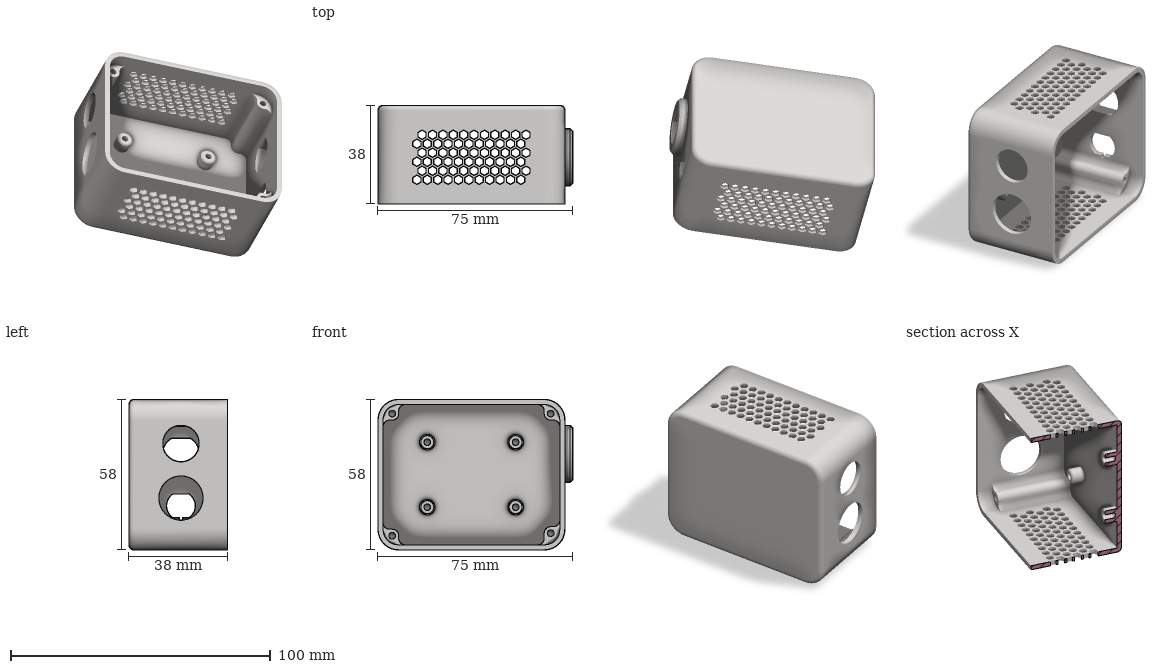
import cadquery as cq
import math

WIDTH = 72.0
HEIGHT = 58.0
DEPTH = 38.0
WALL = 2.0
CORNER_RADIUS = 8.0
BACK_EDGE_RADIUS = 2.0

INNER_WIDTH = WIDTH - 2 * WALL
INNER_HEIGHT = HEIGHT - 2 * WALL
INNER_DEPTH = DEPTH - WALL
INNER_RADIUS = CORNER_RADIUS - WALL
OVERLAP = WALL / 2
MID_Y = INNER_DEPTH / 2

SCREW_HOLE_DIAMETER = 2.53
DRILL_POINT_ANGLE = 118.0

POST_RADIUS = 2.5
POST_RECESS = 6.0
POST_HOLE_DEPTH = 10.0
POST_X = 30.5
POST_Z = 23.5
LOW_POST_Z = 22.5
POST_CENTERS = [(-POST_X, POST_Z), (POST_X, POST_Z), (-POST_X, -POST_Z), (POST_X, -LOW_POST_Z)]

STANDOFF_DIAMETER = 6.0
STANDOFF_LENGTH = 5.0
STANDOFF_CHAMFER = 0.5
STANDOFF_HOLE_DEPTH = 4.0
STANDOFF_SPACING_X = 34.0
STANDOFF_SPACING_Z = 25.0

VENT_SIDES = 6
VENT_ACROSS_FLATS = 3.0
VENT_PITCH = 4.0
VENT_ROWS = 6
VENT_COLUMNS = 11

LEFT_OPENINGS = [(14.0, 12.0), (17.0, -9.0)]

COLLAR_DIAMETER = 22.0
COLLAR_LENGTH = 3.0
COLLAR_CHAMFER = 1.0
COLLAR_Z = 8.0
COLLAR_BORE_DIAMETER = 14.0
COLLAR_BORE_FLATS = 12.0

KEYED_DIAMETER = 11.0
KEYED_FLATS = 9.0
KEYED_Z = -12.0
KEY_WIDTH = 1.2
KEY_DEPTH = 1.0


def rounded_block(width, height, depth, radius):
    """Block from Y = 0 to Y = depth with its four long edges rounded."""
    block = cq.Workplane("XZ").rect(width, height).extrude(-depth)
    return block.edges("|Y").fillet(radius)


def cylinder_y(diameter, x, z, y_start, y_end):
    """Cylinder along Y."""
    plane = cq.Workplane("XZ", origin=(x, y_start, z))
    return plane.circle(diameter / 2).extrude(y_start - y_end)


def cylinder_x(diameter, z, x_start, length):
    """Cylinder along +X, centred on the cavity depth."""
    plane = cq.Workplane("YZ", origin=(x_start, MID_Y, z))
    return plane.circle(diameter / 2).extrude(length)


def screw_hole(x, z, y_mouth, depth):
    """Cutter for a hole drilled toward +Y, with a conical drill point."""
    radius = SCREW_HOLE_DIAMETER / 2
    point = radius / math.tan(math.radians(DRILL_POINT_ANGLE / 2))
    profile = (
        cq.Workplane("XY", origin=(x, y_mouth, z))
        .lineTo(radius, 0)
        .lineTo(radius, depth)
        .lineTo(0, depth + point)
        .close()
    )
    return profile.revolve(360, (0, 0, 0), (0, 1, 0))


def corner_post(x, z):
    """Post filling one cavity corner, with concave blends into both walls."""
    r = POST_RADIUS
    wall_x = INNER_WIDTH / 2 - abs(x)
    wall_z = INNER_HEIGHT / 2 - abs(z)
    right = math.copysign(1, x)
    up = math.copysign(1, z)
    bend = r * math.sqrt(0.5)
    outer = (wall_x, wall_z)
    foot_z = (-2 * r, wall_z)
    blend_z_mid = (-2 * r + bend, wall_z - r + bend)
    blend_z_end = (-r, wall_z - r)
    round_start = (-r, 0)
    round_mid = (-bend, -bend)
    round_end = (0, -r)
    blend_x_start = (wall_x - r, -r)
    blend_x_mid = (wall_x - r + bend, -2 * r + bend)
    foot_x = (wall_x, -2 * r)

    def place(point):
        return (x + right * point[0], z + up * point[1])

    profile = (
        cq.Workplane("XZ", origin=(0, POST_RECESS, 0))
        .moveTo(*place(outer))
        .lineTo(*place(foot_z))
        .threePointArc(place(blend_z_mid), place(blend_z_end))
        .lineTo(*place(round_start))
        .threePointArc(place(round_mid), place(round_end))
        .lineTo(*place(blend_x_start))
        .threePointArc(place(blend_x_mid), place(foot_x))
        .close()
    )
    return profile.extrude(POST_RECESS - INNER_DEPTH - OVERLAP)


def standoff(x, z):
    """Drilled standoff with a chamfered free end."""
    tip_y = INNER_DEPTH - STANDOFF_LENGTH
    pin = cylinder_y(STANDOFF_DIAMETER, x, z, tip_y, INNER_DEPTH)
    pin = pin.faces("<Y").chamfer(STANDOFF_CHAMFER)
    return pin.cut(screw_hole(x, z, tip_y, STANDOFF_HOLE_DEPTH))


def vents():
    """Cutter for the staggered vents, running through both the top and bottom walls."""
    row_pitch = VENT_PITCH * math.sin(math.pi / 3)
    centers = []
    for row in range(VENT_ROWS):
        y = MID_Y + (row - (VENT_ROWS - 1) / 2) * row_pitch
        stagger = VENT_PITCH / 4 if row % 2 else -VENT_PITCH / 4
        for column in range(VENT_COLUMNS):
            x = (column - (VENT_COLUMNS - 1) / 2) * VENT_PITCH + stagger
            centers.append((x, y))
    across_corners = VENT_ACROSS_FLATS / math.cos(math.pi / VENT_SIDES)
    hexagon = cq.Sketch().regularPolygon(across_corners / 2, VENT_SIDES)
    plane = cq.Workplane("XY", origin=(0, 0, -HEIGHT / 2))
    return plane.pushPoints(centers).placeSketch(hexagon).extrude(HEIGHT)


def flatted_bore(diameter, flats, z, x_start, length):
    """Cutter for a round bore with a flat above and below."""
    plane = cq.Workplane("YZ", origin=(x_start, MID_Y, z))
    slab = plane.rect(diameter, flats).extrude(length)
    return cylinder_x(diameter, z, x_start, length).intersect(slab)


def collar():
    """Short round boss on the right wall with a chamfered outer edge."""
    ring = cylinder_x(COLLAR_DIAMETER, COLLAR_Z, WIDTH / 2 - OVERLAP, COLLAR_LENGTH + OVERLAP)
    return ring.faces(">X").edges().chamfer(COLLAR_CHAMFER)


def collar_bore():
    """Cutter through the right wall and the collar."""
    length = WALL + COLLAR_LENGTH
    return flatted_bore(COLLAR_BORE_DIAMETER, COLLAR_BORE_FLATS, COLLAR_Z, INNER_WIDTH / 2, length)


def keyed_opening():
    """Cutter for the flatted opening with a narrow key slot at its lower flat."""
    x_start = INNER_WIDTH / 2
    opening = flatted_bore(KEYED_DIAMETER, KEYED_FLATS, KEYED_Z, x_start, WALL)
    key_height = KEYED_FLATS / 2 + KEY_DEPTH
    plane = cq.Workplane("YZ", origin=(x_start, MID_Y, KEYED_Z - key_height / 2))
    return opening.union(plane.rect(KEY_WIDTH, key_height).extrude(WALL))


outer_block = rounded_block(WIDTH, HEIGHT, DEPTH, CORNER_RADIUS)
outer_block = outer_block.faces(">Y").edges().fillet(BACK_EDGE_RADIUS)
result = outer_block.cut(rounded_block(INNER_WIDTH, INNER_HEIGHT, INNER_DEPTH, INNER_RADIUS))

for post_x, post_z in POST_CENTERS:
    post = corner_post(post_x, post_z).intersect(outer_block)
    post = post.cut(screw_hole(post_x, post_z, POST_RECESS, POST_HOLE_DEPTH))
    result = result.union(post)

for side_x in (-1, 1):
    for side_z in (-1, 1):
        standoff_x = side_x * STANDOFF_SPACING_X / 2
        standoff_z = side_z * STANDOFF_SPACING_Z / 2
        result = result.union(standoff(standoff_x, standoff_z))

result = result.union(collar())
result = result.cut(collar_bore())
result = result.cut(keyed_opening())
for opening_diameter, opening_z in LEFT_OPENINGS:
    result = result.cut(cylinder_x(opening_diameter, opening_z, -WIDTH / 2, WALL))
result = result.cut(vents())